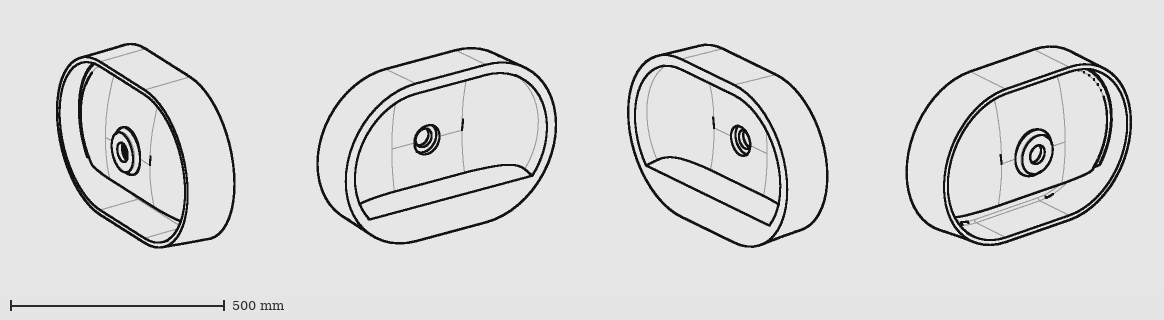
import cadquery as cq
import math

length = 600.0
height = 400.0
depth = 125.0
end_radius = height / 2
end_offset = length / 2 - end_radius
top_y = depth / 2
foot_y = -depth / 2

foot_inset = 6.0
foot_rim_width = 12.0
wall_slope = foot_inset / depth
foot_inner_radius = end_radius - foot_inset - foot_rim_width

deck_thickness = 15.5
deck_y = top_y - deck_thickness
deck_fillet = 6.0
step_z = -120.5
step_draft = math.radians(5.7)
step_wall = 9.0
step_edge_fillet = 7.0

bowl_apex = (0, -48.0)
bowl_shoulder = (120.0, -33.5)
bowl_edge = (167.0, -8.5)
bowl_edge_angle = math.radians(60)
groove_wall_radius = 177.0

inner_apex = (0, -36.0)
inner_shoulder = (120.0, -22.0)
inner_edge = (174.0, 27.0)

boss_radius = 48.0
boss_straight = 5.0
boss_flare = 9.0
hole_radius = 23.0
drain_floor = 13.0
drain_recess_radius = 36.0


def stadium_frustum(start_y, end_y, start_radius, slope):
    """Stadium prism along +Y whose end radius changes by `slope` per unit of Y."""
    finish_radius = start_radius + slope * (end_y - start_y)
    sections = cq.Workplane("XZ", origin=(0, start_y, 0))
    sections = sections.slot2D(2 * (end_offset + start_radius), 2 * start_radius)
    sections = sections.workplane(offset=start_y - end_y)
    sections = sections.slot2D(2 * (end_offset + finish_radius), 2 * finish_radius)
    return sections.loft(ruled=True)


def spun_stadium(profile):
    """Carry a closed half profile (distance from spine, y) round the stadium."""
    outline = profile.wire().val()
    half = cq.Workplane("XY").add(outline).toPending().extrude(2 * end_offset)
    half = half.translate((0, 0, -end_offset))
    upper_half = half.rotate((0, 0, 0), (0, 1, 0), -90)
    spun = cq.Workplane("XY").add(outline).toPending().revolve(180, (0, 0, 0), (0, 1, 0))
    right_end = spun.rotate((0, 0, 0), (0, 1, 0), -90).translate((end_offset, 0, 0))
    left_end = right_end.mirror("YZ")
    return upper_half.union(upper_half.mirror("XY")).union(right_end).union(left_end)


def close_at_top(profile, wall_radius):
    """Finish a half profile with a straight wall to the top and back to the spine."""
    return profile.lineTo(wall_radius, top_y).lineTo(0, top_y).close()


def above_step(shift):
    """Everything above the drafted step wall moved up by `shift`."""
    base_z = step_z + shift
    lean = math.tan(step_draft)
    return (
        cq.Workplane("YZ")
        .moveTo(foot_y, base_z + lean * (deck_y - foot_y))
        .lineTo(top_y, base_z - lean * (top_y - deck_y))
        .lineTo(top_y, height)
        .lineTo(foot_y, height)
        .close()
        .extrude(length, both=True)
    )


def dome_profile(apex, shoulder, edge, edge_angle):
    """Smooth curve from the flat crown out to the steep edge."""
    edge_direction = (math.cos(edge_angle), math.sin(edge_angle))
    return cq.Workplane("XY").spline([apex, shoulder, edge], tangents=[(1, 0), edge_direction])


def make_bowl():
    """Solid under the bowl surface, with the groove along the side wall, cut off at the step."""
    groove_radius = (groove_wall_radius - bowl_edge[0]) / (1 + math.sin(bowl_edge_angle))
    groove_end_y = bowl_edge[1] - groove_radius * math.cos(bowl_edge_angle)
    buried_radius = groove_wall_radius + foot_rim_width / 2
    profile = dome_profile(bowl_apex, bowl_shoulder, bowl_edge, bowl_edge_angle)
    profile = profile.tangentArcPoint((groove_wall_radius, groove_end_y), relative=False)
    profile = profile.lineTo(buried_radius, groove_end_y)
    return spun_stadium(close_at_top(profile, buried_radius)).intersect(above_step(0))


def make_interior():
    """Open water space of the basin."""
    profile = dome_profile(inner_apex, inner_shoulder, inner_edge, math.pi / 2)
    return spun_stadium(close_at_top(profile, inner_edge[0])).intersect(above_step(step_wall))


def make_drain_boss():
    """Round boss flaring out where it meets the bowl."""
    flare_radius = boss_radius + boss_flare
    straight_end = foot_y + boss_straight
    flare_end = straight_end + boss_flare
    flare_middle = (
        flare_radius - boss_flare * math.sqrt(0.5),
        flare_end - boss_flare * (1 - math.sqrt(0.5)),
    )
    return (
        cq.Workplane("XY")
        .moveTo(0, foot_y)
        .lineTo(boss_radius, foot_y)
        .lineTo(boss_radius, straight_end)
        .threePointArc(flare_middle, (flare_radius, flare_end))
        .lineTo(flare_radius, inner_apex[1])
        .lineTo(0, inner_apex[1])
        .close()
        .revolve(360, (0, 0, 0), (0, 1, 0))
    )


def cylinder_along_y(radius, start_y, end_y):
    return cq.Workplane("XZ", origin=(0, start_y, 0)).circle(radius).extrude(start_y - end_y)


def make_underside_hollow(bowl):
    """Space inside the side wall, below the bowl and the deck."""
    hollow = stadium_frustum(foot_y, deck_y, foot_inner_radius, -wall_slope).cut(bowl)
    hollow = hollow.faces(">Y").edges().fillet(deck_fillet)
    bowl_half_length = end_offset + bowl_shoulder[0]
    step_edge_zone = cq.selectors.BoxSelector(
        (-bowl_half_length, foot_y, step_z),
        (bowl_half_length, bowl_edge[1], step_z + 2 * step_wall),
    )
    return hollow.edges(step_edge_zone).fillet(step_edge_fillet)


body = stadium_frustum(foot_y, top_y, end_radius - foot_inset, wall_slope)
body = body.cut(make_underside_hollow(make_bowl()))
body = body.cut(make_interior())
body = body.union(make_drain_boss())
body = body.cut(cylinder_along_y(hole_radius, foot_y, top_y))
body = body.cut(cylinder_along_y(drain_recess_radius, foot_y + drain_floor, top_y))
result = body